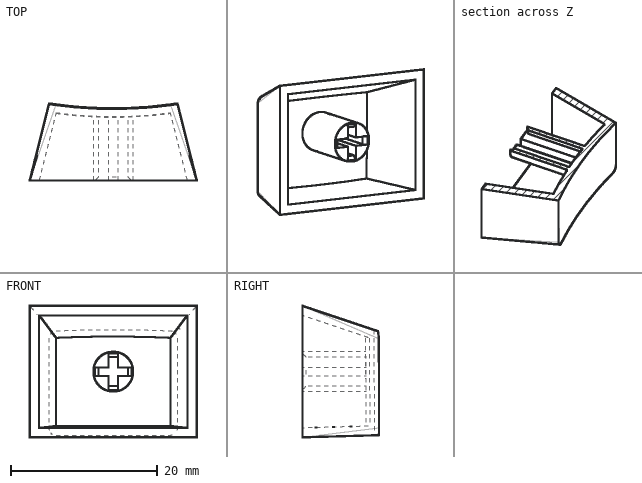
import cadquery as cq
import math


MOUTH_WIDTH = 22.85
MOUTH_LENGTH = 18.0
HEIGHT = 10.5
SIDE_TAPER = 2.64
UPPER_TAPER = 3.53
LOWER_TAPER = 0.3
TOP_CORNER_RADIUS = 1.0
MOUTH_CORNER_RADIUS = 0.005

DISH_DEPTH = 0.68
DISH_TILT = 0.45

WALL = 1.31
ROOF = 1.15

STEM_DIAMETER = 5.45
CROSS_SPAN = 4.0
CROSS_UPRIGHT_WIDTH = 1.25
CROSS_LEVEL_WIDTH = 1.17
LEAD_IN = 0.5

TOP_WIDTH = MOUTH_WIDTH - 2 * SIDE_TAPER
TOP_LENGTH = MOUTH_LENGTH - UPPER_TAPER - LOWER_TAPER
TOP_CENTRE_Z = (LOWER_TAPER - UPPER_TAPER) / 2
DISH_RADIUS = ((TOP_WIDTH / 2) ** 2 + DISH_DEPTH ** 2) / (2 * DISH_DEPTH)
CUTTER_LENGTH = 2 * MOUTH_LENGTH


def tapered_block(inset, mouth_radius=0, top_radius=0):
    """Four-sided tapered block whose sides lie inside the outer walls by inset."""
    plane = cq.Plane(origin=(0, 0, 0), xDir=(1, 0, 0), normal=(0, -1, 0))
    mouth = cq.Sketch().rect(MOUTH_WIDTH - 2 * inset, MOUTH_LENGTH - 2 * inset)
    top = cq.Sketch().rect(TOP_WIDTH - 2 * inset, TOP_LENGTH - 2 * inset)
    if mouth_radius:
        mouth = mouth.vertices().fillet(mouth_radius)
    if top_radius:
        top = top.vertices().fillet(top_radius)
    top_location = cq.Location(cq.Vector(0, TOP_CENTRE_Z, -HEIGHT))
    return cq.Workplane(plane).placeSketch(mouth, top.moved(top_location)).loft(ruled=True)


def dish_cutter(drop):
    """Tilted cylinder that hollows the top, lowered by drop."""
    axis_y = HEIGHT - DISH_DEPTH + DISH_RADIUS - drop
    tilt = math.radians(DISH_TILT)
    axis = cq.Vector(0, -math.sin(tilt), math.cos(tilt))
    start = cq.Vector(0, axis_y, TOP_CENTRE_Z) - axis * (CUTTER_LENGTH / 2)
    return cq.Workplane(cq.Solid.makeCylinder(DISH_RADIUS, CUTTER_LENGTH, start, axis))


def stem():
    """Round post from the mouth plane into the roof."""
    return cq.Workplane("XZ").circle(STEM_DIAMETER / 2).extrude(-(HEIGHT - DISH_DEPTH - ROOF / 2))


def socket_arm(width):
    """Slot along X through the stem, flared lengthwise at the mouth."""
    half_span = CROSS_SPAN / 2
    half_mouth = half_span + LEAD_IN
    return (
        cq.Workplane("XY")
        .workplane(offset=-width / 2)
        .polyline([
            (-half_mouth, 0),
            (half_mouth, 0),
            (half_span, LEAD_IN),
            (half_span, HEIGHT),
            (-half_span, HEIGHT),
            (-half_span, LEAD_IN),
        ])
        .close()
        .extrude(width)
    )


def socket():
    """Cross-shaped socket made of a level and an upright arm."""
    level_arm = socket_arm(CROSS_LEVEL_WIDTH)
    upright_arm = socket_arm(CROSS_UPRIGHT_WIDTH).rotate((0, 0, 0), (0, 1, 0), 90)
    return level_arm.union(upright_arm)


body = tapered_block(0, MOUTH_CORNER_RADIUS, TOP_CORNER_RADIUS).cut(dish_cutter(0))
cavity = tapered_block(WALL).cut(dish_cutter(ROOF))
post = stem().cut(socket())

result = body.cut(cavity.cut(post))